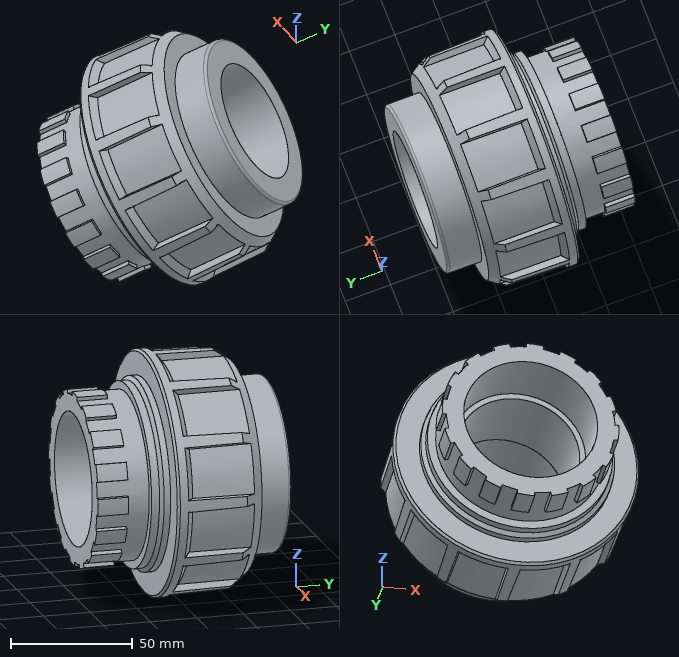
import cadquery as cq

LENGTH = 83.0
BORE_RADIUS = 25.7
END_RADIUS = 37.1

SOCKET_RADIUS = 28.1
SOCKET_DEPTH = 25.0
NECK_RADIUS = 35.5
NECK_END = 22.3
FLANGE_RADIUS = 39.0
FLANGE_END = 25.8
COLLAR_RADIUS = 40.8
COLLAR_CHAMFER_LENGTH = 1.5
SPLINE_COUNT = 16
SPLINE_WIDTH = 7.3
SPLINE_LENGTH = 13.0
SOCKET_BODY_TURN = 3.0

NUT_START = 30.0
NUT_END = 67.9
NUT_RADIUS = 51.7
NUT_FRONT_CHAMFER = 1.0
POCKET_START = 34.6
POCKET_FLOOR_START = 37.2
POCKET_FLOOR_RADIUS = 48.6
POCKET_END = 63.8
RIB_END = 59.9
RIB_END_RADIUS = 51.1
NUT_BACK_RADIUS = 45.4
BACK_CONE_SLOPE = (RIB_END_RADIUS - NUT_BACK_RADIUS) / (NUT_END - RIB_END)
POCKET_END_RADIUS = RIB_END_RADIUS - BACK_CONE_SLOPE * (POCKET_END - RIB_END)
RIB_COUNT = 12
RIB_FRONT_WIDTH = 5.1
RIB_BACK_WIDTH = 4.2

TAIL_ROUNDING = 1.1

JOINT = 56.9
TAIL_FLANGE_END = 62.1


def turned(profile):
    """Revolve a closed (radius, y) profile about the Y axis."""
    return cq.Workplane("XY").polyline(profile).close().revolve(360, (0, 0, 0), (0, 1, 0))


def about_axis(shape, angle):
    """Rotate a shape about the Y axis, from +Z toward +X."""
    return shape.rotate((0, 0, 0), (0, 1, 0), angle)


def make_socket_body():
    body = turned([
        (SOCKET_RADIUS, 0),
        (NECK_RADIUS, 0),
        (NECK_RADIUS, NECK_END),
        (FLANGE_RADIUS, NECK_END),
        (FLANGE_RADIUS, FLANGE_END),
        (COLLAR_RADIUS, FLANGE_END + COLLAR_CHAMFER_LENGTH),
        (COLLAR_RADIUS, JOINT),
        (BORE_RADIUS, JOINT),
        (BORE_RADIUS, SOCKET_DEPTH),
        (SOCKET_RADIUS, SOCKET_DEPTH),
    ])
    return about_axis(body.union(make_splines()), SOCKET_BODY_TURN)


def make_splines():
    """Parallel-sided splines around the free end, their tips on the end radius."""
    root_radius = (SOCKET_RADIUS + NECK_RADIUS) / 2
    bar = cq.Workplane("XY").box(
        SPLINE_WIDTH, SPLINE_LENGTH, END_RADIUS, centered=(True, False, False)
    )
    bars = cq.Workplane("XY")
    for index in range(SPLINE_COUNT):
        bars = bars.union(about_axis(bar, index * 360 / SPLINE_COUNT))
    ring = turned([
        (root_radius, 0),
        (END_RADIUS, 0),
        (END_RADIUS, SPLINE_LENGTH),
        (root_radius, SPLINE_LENGTH),
    ])
    return ring.intersect(bars)


def make_nut():
    """Tapered ring with pockets between ribs; the inside fits the collar and the tailpiece."""
    ring = turned([
        (COLLAR_RADIUS, NUT_START),
        (NUT_RADIUS - NUT_FRONT_CHAMFER, NUT_START),
        (NUT_RADIUS, NUT_START + NUT_FRONT_CHAMFER),
        (RIB_END_RADIUS, RIB_END),
        (NUT_BACK_RADIUS, NUT_END),
        (END_RADIUS, NUT_END),
        (END_RADIUS, TAIL_FLANGE_END),
        (COLLAR_RADIUS, TAIL_FLANGE_END),
    ])
    return ring.cut(make_pockets())


def make_pockets():
    """Band around the nut with a sloping front wall, interrupted by the ribs."""
    band = turned([
        (NUT_RADIUS, POCKET_START),
        (POCKET_FLOOR_RADIUS, POCKET_FLOOR_START),
        (POCKET_END_RADIUS, POCKET_END),
        (NUT_RADIUS, POCKET_END),
    ])
    return band.cut(make_rib_bars())


def make_rib_bars():
    """Radial bars that narrow toward the back of the nut."""
    front_half = RIB_FRONT_WIDTH / 2
    back_half = RIB_BACK_WIDTH / 2
    bar = (
        cq.Workplane("XY", origin=(0, 0, COLLAR_RADIUS))
        .polyline([
            (-front_half, POCKET_START),
            (front_half, POCKET_START),
            (back_half, POCKET_END),
            (-back_half, POCKET_END),
        ])
        .close()
        .extrude(NUT_RADIUS - COLLAR_RADIUS)
    )
    bars = cq.Workplane("XY")
    for index in range(RIB_COUNT):
        bars = bars.union(about_axis(bar, index * 360 / RIB_COUNT))
    return bars


def make_tailpiece():
    barrel = turned([
        (BORE_RADIUS, JOINT),
        (COLLAR_RADIUS, JOINT),
        (COLLAR_RADIUS, TAIL_FLANGE_END),
        (END_RADIUS, TAIL_FLANGE_END),
        (END_RADIUS, LENGTH),
        (BORE_RADIUS, LENGTH),
    ])
    outer_rim = cq.selectors.RadiusNthSelector(-1)
    return barrel.faces(">Y").edges(outer_rim).fillet(TAIL_ROUNDING)


socket_body = make_socket_body()
nut = make_nut()
tailpiece = make_tailpiece()

result = cq.Compound.makeCompound([socket_body.val(), nut.val(), tailpiece.val()])